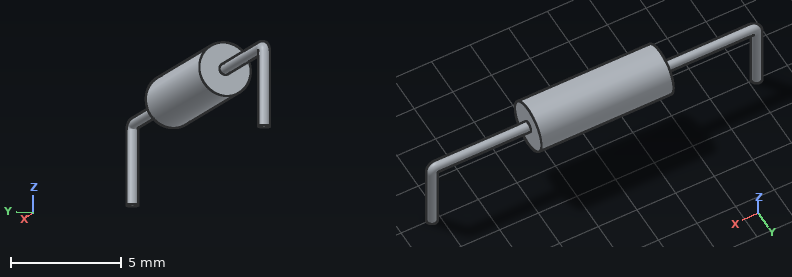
import cadquery as cq

span = 17.34
body_diameter = 2.5
body_length = 6.85
lead_diameter = 0.54
bend_radius = 0.28
total_height = 5.0

lead_radius = lead_diameter / 2
leg_x = span / 2 - lead_radius
bend_x = leg_x - bend_radius
tip_z = body_diameter / 2 - total_height
run_length = bend_x - body_length / 2
leg_length = -bend_radius - tip_z


def make_body():
    """Plain cylinder lying along X."""
    return cq.Workplane("YZ", origin=(-body_length / 2, 0, 0)).circle(body_diameter / 2).extrude(body_length)


def make_right_lead():
    """Lead running out from the +X body face, then bending down."""
    run = cq.Workplane("YZ", origin=(body_length / 2, 0, 0)).circle(lead_radius).extrude(run_length)
    bend = (
        cq.Workplane("YZ", origin=(bend_x, 0, 0))
        .circle(lead_radius)
        .revolve(90, (0, -bend_radius, 0), (1, -bend_radius, 0))
    )
    leg = cq.Workplane("XY", origin=(leg_x, 0, tip_z)).circle(lead_radius).extrude(leg_length)
    return run.union(bend).union(leg)


body = make_body()

leads = []
for turn in (0, 180):
    leads.append(make_right_lead().rotate((0, 0, 0), (0, 0, 1), turn).val())

result = cq.Compound.makeCompound([body.val(), *leads])